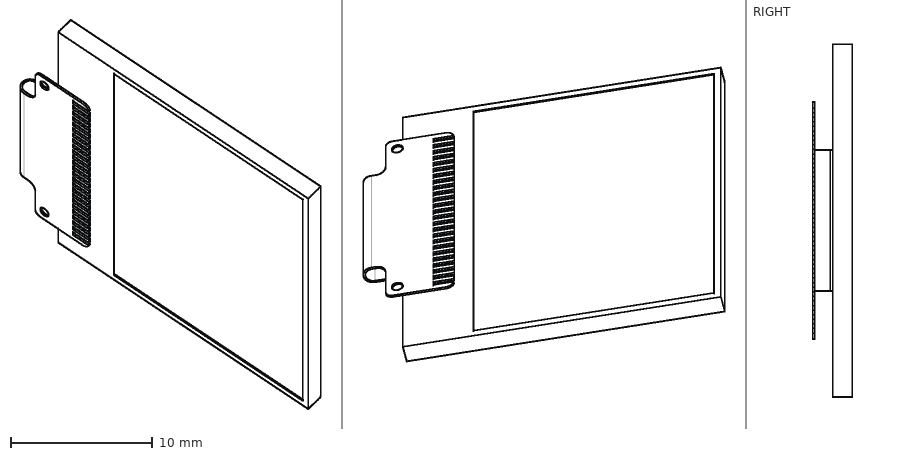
import cadquery as cq

panel_width = 23.0
panel_height = 25.0
panel_thickness = 1.4
panel_left = -panel_width / 2
panel_right = panel_width / 2

recess_width = 17.4
recess_height = 23.9
recess_depth = 0.1
recess_right_margin = 0.5

sheet_thickness = 0.16
fold_outer_diameter = 1.41
fold_overhang = 2.7
bond_length = 1.0
neck_height = 10.0

tab_height = 16.8
tab_start_from_fold = 1.75
tab_end_from_fold = 6.7
tab_outer_corner_radius = 0.5
tab_neck_fillet_radius = 0.7
tab_tip_corner_radius = 0.6

hole_diameter = 0.8
hole_from_tab_start = 0.85
hole_height = 7.5

slot_count = 25
slot_pitch = 0.65
slot_height = slot_pitch / 2
slot_length = 1.5

fold_radius = fold_outer_diameter / 2
fold_left = panel_left - fold_overhang
fold_center_x = fold_left + fold_radius
bond_end = panel_left + bond_length
tab_start = fold_left + tab_start_from_fold
tab_end = fold_left + tab_end_from_fold


def make_panel():
    """Rectangular plate with the active area sunk into its front face."""
    plate = cq.Workplane("XY").box(panel_width, panel_thickness, panel_height)
    plate = plate.translate((0, panel_thickness / 2, 0))
    recess_center_x = panel_right - recess_right_margin - recess_width / 2
    recess = (
        cq.Workplane("XY")
        .box(recess_width, 2 * recess_depth, recess_height)
        .translate((recess_center_x, 0, 0))
    )
    return plate.cut(recess)


def make_folded_sheet():
    """Neck-height U: bonded leg, half-round fold and free leg up to the tab."""
    inner_radius = fold_radius - sheet_thickness
    free_leg_outer = -fold_outer_diameter
    free_leg_inner = free_leg_outer + sheet_thickness
    return (
        cq.Workplane("XY")
        .moveTo(bond_end, 0)
        .lineTo(fold_center_x, 0)
        .threePointArc((fold_left, -fold_radius), (fold_center_x, free_leg_outer))
        .lineTo(tab_end, free_leg_outer)
        .lineTo(tab_end, free_leg_inner)
        .lineTo(fold_center_x, free_leg_inner)
        .threePointArc((fold_center_x - inner_radius, -fold_radius), (fold_center_x, -sheet_thickness))
        .lineTo(bond_end, -sheet_thickness)
        .close()
        .extrude(neck_height / 2, both=True)
    )


def make_tab():
    """Flat tab with rounded corners, as thick as the sheet and in the plane of the free leg."""
    tab = (
        cq.Workplane("XY")
        .box(tab_end - tab_start, sheet_thickness, tab_height)
        .translate(((tab_start + tab_end) / 2, -fold_outer_diameter + sheet_thickness / 2, 0))
    )
    tab = tab.edges("|Y and <X").fillet(tab_outer_corner_radius)
    return tab.edges("|Y and >X").fillet(tab_tip_corner_radius)


def fillet_neck_corners(tail):
    """Round the two inside corners where the neck meets the tab."""
    corner_reach = sheet_thickness
    corners = cq.selectors.BoxSelector(
        (tab_start - corner_reach, -fold_outer_diameter - corner_reach, -neck_height / 2 - corner_reach),
        (tab_start + corner_reach, -fold_outer_diameter + 2 * corner_reach, neck_height / 2 + corner_reach),
    )
    return tail.edges("|Y").edges(corners).fillet(tab_neck_fillet_radius)


def make_hole_cutters():
    """Pins through the free leg only, one near each end of the tab."""
    hole_x = tab_start + hole_from_tab_start
    return (
        cq.Workplane("XZ", origin=(0, -fold_outer_diameter + sheet_thickness, 0))
        .pushPoints([(hole_x, hole_height), (hole_x, -hole_height)])
        .circle(hole_diameter / 2)
        .extrude(sheet_thickness)
    )


def make_slot_cutters():
    """Evenly pitched slots, open at the tab's free end."""
    return (
        cq.Workplane("XZ", origin=(tab_end - slot_length / 2, -fold_outer_diameter + sheet_thickness, 0))
        .rarray(1, slot_pitch, 1, slot_count)
        .rect(slot_length, slot_height)
        .extrude(sheet_thickness)
    )


def make_tail():
    """Folded sheet widened into the drilled and slotted tab."""
    tail = make_folded_sheet().union(make_tab())
    tail = fillet_neck_corners(tail)
    return tail.cut(make_hole_cutters()).cut(make_slot_cutters())


panel = make_panel()
tail = make_tail()

result = cq.Compound.makeCompound([panel.val(), tail.val()])